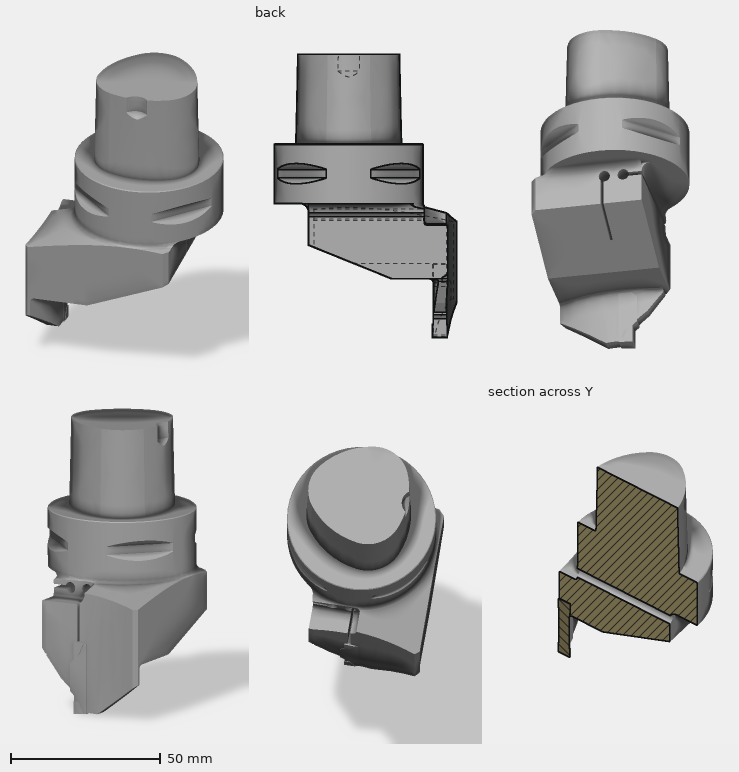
import cadquery as cq
import math


shank_height = 30.0
flat_distance = 16.5
lobe_distance = 18.6
lobe_centre_distance = 6.4
shank_taper = 0.7
key_radius = 4.4
key_depth = 5.6
key_tip_angle = 40
key_tip_depth = key_radius * math.tan(math.radians(key_tip_angle))
key_axis_y = -18.1

flange_diameter = 50.0
flange_radius = flange_diameter / 2
flange_height = 20.0
flange_chamfer = 0.3
gripper_count = 4
first_gripper_angle = 45
gripper_depth = 2.85
gripper_floor_height = 2.8
gripper_lip = 0.3
gripper_mouth_height = 6.8
flange_bottom = -flange_height

head_front_y = -26.0
head_back_y = 12.1
head_right_x = 13.5
head_bottom = -45.3
head_slope_start_x = -14.4
head_slope_end_z = -34.0
head_corner_chamfer = 1.7
foot_fillet = 2.85
collar_fillet = 1.3
cone_angle = 15
cone_outer_radius = 57.0

blade_outer_x = -32.7
blade_outer_radius = 85.5
blade_outer_flat_y = 10.3
blade_left_corner = (-35.1, -24.5)
blade_inner_x = -28.4
blade_inner_y = -2.85
blade_inner_radius = 49.4
blade_root_fillet = 1.3
blade_end_z = -64.1
blade_end_y = -9.2
blade_slope_start = (-26.0, -52.0)
jaw_slope = [(blade_outer_flat_y, -46.1), (4.9, -53.4), (1.5, -56.4)]

jaw_corner_legs = (2.4, 1.3, 1.8)
hole_radius = 1.9
hole_z = -23.75
slit_hole_y = -0.8
back_hole_y = 5.7
slit_width = 0.95
slit_y = -1.5
back_slit_height = 1.3
step_x = -25.3
step_floor_z = -27.3
step_round_radius = 3.9
step_round_y = -0.2
step_fillet = 1.0

insert_bottom = -65.0
insert_length = 24.9
insert_top = insert_bottom + insert_length
insert_middle_z = insert_bottom + insert_length / 2
insert_seat_y = -4.75
insert_ridge_y = 1.5
insert_body_width = 4.6
insert_tip_width = 5.0
insert_x = -30.6
ridge_half_length = 4.75
ridge_end_half_length = 6.2
tip_length = 4.4
tip_heel_y = -3.8
tip_inner_y = -1.9
tip_clearance = 0.4

reach = 95.0


def arc_x(crest_x, crest_y, radius, y):
    """X at a given Y on an arc bulging toward +X with its crest at (crest_x, crest_y)."""
    return crest_x - radius + math.sqrt(radius ** 2 - (y - crest_y) ** 2)


def polar(radius, degrees):
    angle = math.radians(degrees)
    return cq.Vector(radius * math.cos(angle), radius * math.sin(angle))


def lobed_wire(z, inset):
    """Three flat arcs and three lobe arcs, tangent to each other, moved inward by inset."""
    shift = lobe_distance - flat_distance
    centre = lobe_centre_distance
    flat_centre_distance = (2 * shift * centre - shift ** 2) / (centre - 2 * shift)
    flat_radius = flat_centre_distance + flat_distance - inset
    edges = []
    for flat_angle in (-90, 30, 150):
        flat_centre = polar(-flat_centre_distance, flat_angle)
        lobe_centre = polar(centre, flat_angle + 60)
        last_lobe_centre = polar(centre, flat_angle - 60)
        next_flat_centre = polar(-flat_centre_distance, flat_angle + 120)
        flat_start = flat_centre + (last_lobe_centre - flat_centre).normalized() * flat_radius
        flat_end = flat_centre + (lobe_centre - flat_centre).normalized() * flat_radius
        lobe_end = next_flat_centre + (lobe_centre - next_flat_centre).normalized() * flat_radius
        flat_middle = polar(flat_distance - inset, flat_angle)
        lobe_middle = polar(lobe_distance - inset, flat_angle + 60)
        edges.append(cq.Edge.makeThreePointArc(flat_start, flat_middle, flat_end))
        edges.append(cq.Edge.makeThreePointArc(flat_end, lobe_middle, lobe_end))
    return cq.Wire.assembleEdges(edges).translate(cq.Vector(0, 0, z))


def make_shank():
    wires = [lobed_wire(0, 0), lobed_wire(shank_height, shank_taper)]
    shank = cq.Workplane(cq.Solid.makeLoft(wires, True))
    notch = (
        cq.Workplane("XZ")
        .moveTo(0, shank_height)
        .lineTo(key_radius, shank_height)
        .lineTo(key_radius, shank_height - key_depth)
        .lineTo(0, shank_height - key_depth - key_tip_depth)
        .close()
        .revolve(360, (0, 0, 0), (0, 1, 0))
        .translate((0, key_axis_y, 0))
    )
    return shank.cut(notch)


def make_flange():
    flange = cq.Workplane("XY").workplane(offset=flange_bottom).circle(flange_radius).extrude(flange_height)
    flange = flange.faces(">Z").edges().chamfer(flange_chamfer)
    floor_distance = flange_radius - gripper_depth
    lip_distance = floor_distance + gripper_lip
    floor_half = gripper_floor_height / 2
    lip_half = floor_half + gripper_lip
    mouth_half = gripper_mouth_height / 2
    groove = (
        cq.Workplane("XZ")
        .polyline([
            (floor_distance, -floor_half),
            (lip_distance, -lip_half),
            (flange_radius, -mouth_half),
            (flange_radius, mouth_half),
            (lip_distance, lip_half),
            (floor_distance, floor_half),
        ])
        .close()
        .extrude(flange_radius, both=True)
        .translate((0, 0, flange_bottom / 2))
    )
    for index in range(gripper_count):
        angle = first_gripper_angle + index * 360 / gripper_count
        flange = flange.cut(groove.rotate((0, 0, 0), (0, 0, 1), angle))
    return flange


def arc_outer(y):
    """X of the concave outer face, an arc with its centre on the -X side."""
    return arc_x(blade_outer_x, 0, blade_outer_radius, y)


def start_at_outer_face():
    """Outline of the left end of the head, from the front face to the back along the concave outer face."""
    front_x, corner_y = blade_left_corner
    corner_x = arc_outer(corner_y)
    return (
        cq.Workplane("XY")
        .moveTo(front_x, head_front_y)
        .lineTo(corner_x, corner_y)
        .threePointArc((blade_outer_x, 0), (arc_outer(blade_outer_flat_y), blade_outer_flat_y))
        .lineTo(arc_outer(blade_outer_flat_y), head_back_y)
    )


def make_foot():
    """Concave fillet strip along the +Y direction, with its corner at the origin."""
    return (
        cq.Workplane("XZ")
        .lineTo(foot_fillet, 0)
        .radiusArc((0, -foot_fillet), -foot_fillet)
        .close()
        .extrude(reach, both=True)
    )


def make_head():
    prism = (
        start_at_outer_face()
        .lineTo(head_right_x, head_back_y)
        .lineTo(head_right_x, head_front_y + head_corner_chamfer)
        .lineTo(head_right_x - head_corner_chamfer, head_front_y)
        .close()
        .extrude(head_bottom)
    )
    slope_cut = (
        cq.Workplane("XZ")
        .moveTo(head_slope_start_x, head_bottom)
        .lineTo(head_right_x, head_slope_end_z)
        .lineTo(head_right_x, head_bottom)
        .close()
        .extrude(reach, both=True)
    )
    prism = prism.cut(slope_cut)

    right_wall_start = head_front_y + head_corner_chamfer
    right_foot = make_foot().translate((head_right_x, 0, flange_bottom))
    back_foot = make_foot().rotate((0, 0, 0), (0, 0, 1), 90).translate((0, head_back_y, flange_bottom))
    right_limit = (
        cq.Workplane("XY")
        .box(reach, head_back_y - right_wall_start, reach)
        .translate((0, (head_back_y + right_wall_start) / 2, 0))
    )
    back_limit = (
        cq.Workplane("XY")
        .box(head_right_x - blade_outer_x, reach, reach)
        .translate(((head_right_x + blade_outer_x) / 2, 0, 0))
    )
    prism = prism.union(right_foot.intersect(right_limit)).union(back_foot.intersect(back_limit))

    collar_radius = flange_radius + collar_fillet
    cone_drop = (cone_outer_radius - collar_radius) * math.tan(math.radians(cone_angle))
    envelope = (
        cq.Workplane("XZ")
        .moveTo(0, flange_bottom)
        .lineTo(flange_radius, flange_bottom)
        .radiusArc((collar_radius, flange_bottom - collar_fillet), -collar_fillet)
        .lineTo(cone_outer_radius, flange_bottom - collar_fillet - cone_drop)
        .lineTo(cone_outer_radius, insert_bottom)
        .lineTo(0, insert_bottom)
        .close()
        .revolve(360, (0, 0, 0), (0, 1, 0))
    )
    return prism.intersect(envelope)


def make_blade():
    back_x = arc_x(blade_inner_x, blade_inner_y, blade_inner_radius, head_back_y)
    front_x = arc_x(blade_inner_x, blade_inner_y, blade_inner_radius, head_front_y)
    curved = (
        start_at_outer_face()
        .lineTo(back_x, head_back_y)
        .threePointArc((blade_inner_x, blade_inner_y), (front_x, head_front_y))
        .close()
        .extrude(insert_bottom)
    )
    side = (
        cq.Workplane("YZ")
        .polyline([
            (blade_outer_flat_y, head_bottom),
            *jaw_slope,
            (insert_seat_y, blade_end_z),
            (blade_end_y, blade_end_z),
            blade_slope_start,
            (head_front_y, head_bottom),
        ])
        .close()
        .extrude(reach, both=True)
    )
    return curved.union(make_blade_root()).intersect(side)


def make_blade_root():
    """Concave fillet ring that follows the inner face of the blade under the head."""
    return (
        cq.Workplane("XZ")
        .moveTo(blade_inner_radius, head_bottom)
        .lineTo(blade_inner_radius + blade_root_fillet, head_bottom)
        .radiusArc((blade_inner_radius, head_bottom - blade_root_fillet), -blade_root_fillet)
        .close()
        .revolve(360, (0, 0, 0), (0, 1, 0))
        .translate((blade_inner_x - blade_inner_radius, blade_inner_y, 0))
    )


def make_jaw_corner():
    """Tetrahedron that cuts the lower back corner of the head at the outer face."""
    leg_x, leg_y, leg_z = jaw_corner_legs
    corner = cq.Vector(arc_outer(blade_outer_flat_y), head_back_y, head_bottom)
    along_x = corner + cq.Vector(leg_x, 0, 0)
    along_y = corner - cq.Vector(0, leg_y, 0)
    along_z = corner + cq.Vector(0, 0, leg_z)
    triangles = [
        (corner, along_x, along_y),
        (corner, along_y, along_z),
        (corner, along_z, along_x),
        (along_x, along_y, along_z),
    ]
    faces = [cq.Face.makeFromWires(cq.Wire.makePolygon(points, close=True)) for points in triangles]
    return cq.Workplane(cq.Solid.makeSolid(cq.Shell.makeShell(faces)))


def cut_clamp(body):
    """Step above the jaw, two cross holes and the two slits that make the jaw springy."""
    step = (
        cq.Workplane("YZ")
        .workplane(offset=step_x)
        .moveTo(reach, step_floor_z)
        .lineTo(step_round_y, step_floor_z)
        .radiusArc((step_round_y - step_round_radius, step_floor_z + step_round_radius), step_round_radius)
        .lineTo(step_round_y - step_round_radius, 0)
        .lineTo(reach, 0)
        .close()
        .extrude(-reach)
        .faces(">X")
        .edges("not(>Z or >Y)")
        .fillet(step_fillet)
    )
    holes = (
        cq.Workplane("YZ")
        .pushPoints([(slit_hole_y, hole_z), (back_hole_y, hole_z)])
        .circle(hole_radius)
        .extrude(reach, both=True)
    )
    slit_height = hole_z - insert_top
    slit = cq.Workplane("XY").box(2 * reach, slit_width, slit_height).translate(
        (0, slit_y, insert_top + slit_height / 2)
    )
    back_slit = cq.Workplane("XY").box(2 * reach, reach, back_slit_height).translate(
        (0, back_hole_y + reach / 2, hole_z)
    )
    return body.cut(step).cut(holes).cut(slit).cut(back_slit)


def make_insert():
    ridge_bottom = insert_middle_z - ridge_half_length
    ridge_foot = insert_middle_z - ridge_end_half_length
    lower_body = [
        (insert_ridge_y, insert_middle_z),
        (insert_ridge_y, ridge_bottom),
        (0, ridge_foot),
        (0, insert_bottom),
        (insert_seat_y, insert_bottom + tip_clearance),
        (insert_seat_y, insert_middle_z),
    ]
    lower_tip = [
        (0, insert_bottom),
        (0, insert_bottom + tip_length),
        (tip_inner_y, insert_bottom + tip_length),
        (tip_heel_y, insert_bottom + tip_clearance * tip_heel_y / insert_seat_y),
    ]
    half = cq.Workplane("YZ").polyline(lower_body).close().extrude(insert_body_width / 2, both=True)
    tip = cq.Workplane("YZ").polyline(lower_tip).close().extrude(insert_tip_width / 2, both=True)
    half = half.union(tip)
    upper = half.mirror("XY", (0, 0, insert_middle_z))
    return half.union(upper).translate((insert_x, 0, 0))


insert = make_insert()
holder = make_head().union(make_blade())
holder = cut_clamp(holder.cut(make_jaw_corner()))
holder = holder.union(make_flange()).union(make_shank()).cut(insert)

result = cq.Compound.makeCompound([*holder.solids().vals(), *insert.solids().vals()])